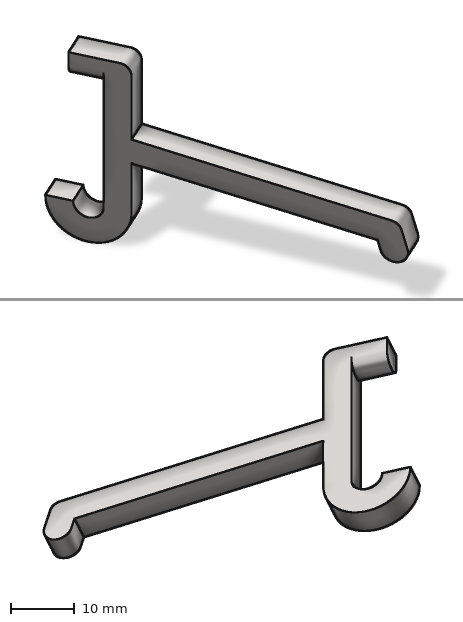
import cadquery as cq
import math

total_length = 60.65
width = 4.65
thickness = 4.65
total_height = 35.4

hook_outer_radius = 7.2
hook_inner_radius = hook_outer_radius - thickness

post_right = 2 * hook_outer_radius
post_left = post_right - thickness
post_top = total_height - hook_outer_radius

finger_left = 3.9
finger_edge_radius = 2.05
corner_radius = 2.0

arm_top_at_post = 14.05
arm_thickness = 4.55
arm_slope = math.radians(6.5)
tip_lean = math.radians(16)
tip_radius = thickness / 2
tip_height = 3.65
tip_center = (total_length - tip_radius, tip_height)


def extrude_profile(sketch):
    """Extrude an XZ outline across the full width, centred on y = 0."""
    return sketch.close().extrude(width / 2, both=True)


def make_post_and_hook():
    """Upright post running into the semicircular hook below it."""
    post = extrude_profile(
        cq.Workplane("XZ")
        .moveTo(post_left, post_top)
        .lineTo(post_right, post_top)
        .lineTo(post_right, 0)
        .threePointArc((hook_outer_radius, -hook_outer_radius), (0, 0))
        .lineTo(thickness, 0)
        .threePointArc((hook_outer_radius, -hook_inner_radius), (post_left, 0))
    )
    return post.edges("|Y and >Z and >X").fillet(corner_radius)


def make_finger():
    """Finger reaching left from the top of the post."""
    length = post_left - finger_left
    finger = cq.Workplane("XY").box(length, width, thickness, centered=(False, True, False))
    finger = finger.edges("|X and <Z").fillet(finger_edge_radius)
    return finger.translate((finger_left, 0, post_top - thickness))


def arm_height(x, height_at_post):
    """Height of an arm face at a given x."""
    return height_at_post - (x - post_right) * math.tan(arm_slope)


def arm_meets_tip(height_at_post, side):
    """Point where an arm face meets the right (+1) or left (-1) tip face."""
    start_x = tip_center[0] + side * tip_radius * math.cos(tip_lean)
    start_z = tip_center[1] + side * tip_radius * math.sin(tip_lean)
    rise = arm_height(start_x, height_at_post) - start_z
    distance = rise / (math.cos(tip_lean) - math.sin(tip_lean) * math.tan(arm_slope))
    return (start_x - distance * math.sin(tip_lean), start_z + distance * math.cos(tip_lean))


def tip_point(angle):
    """Point on the round tip at an angle measured from the +X axis."""
    return (
        tip_center[0] + tip_radius * math.cos(angle),
        tip_center[1] + tip_radius * math.sin(angle),
    )


def make_arm():
    """Sloping arm, starting inside the post and ending in the round tip."""
    arm_bottom_at_post = arm_top_at_post - arm_thickness / math.cos(arm_slope)
    root_x = (post_left + post_right) / 2
    arm = extrude_profile(
        cq.Workplane("XZ")
        .moveTo(root_x, arm_height(root_x, arm_top_at_post))
        .lineTo(*arm_meets_tip(arm_top_at_post, 1))
        .lineTo(*tip_point(tip_lean))
        .threePointArc(tip_point(tip_lean - math.pi / 2), tip_point(tip_lean - math.pi))
        .lineTo(*arm_meets_tip(arm_bottom_at_post, -1))
        .lineTo(root_x, arm_height(root_x, arm_bottom_at_post))
    )
    outer_x, outer_z = arm_meets_tip(arm_top_at_post, 1)
    outer_corner = cq.selectors.NearestToPointSelector((outer_x, 0, outer_z))
    return arm.edges(outer_corner).fillet(corner_radius)


result = make_post_and_hook().union(make_finger()).union(make_arm())